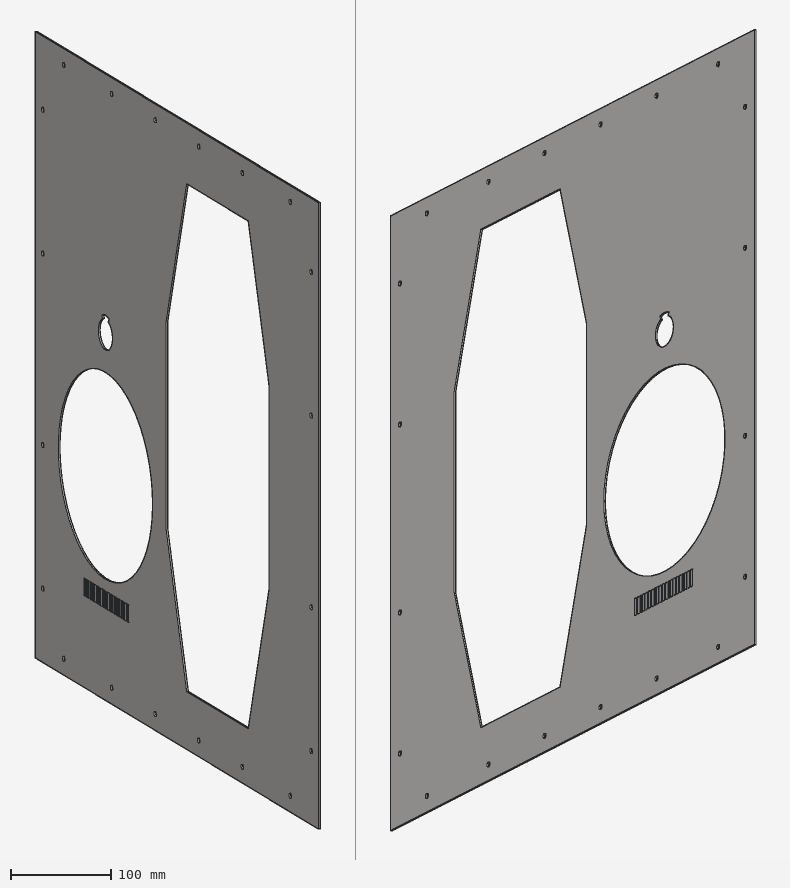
import cadquery as cq
import math

panel_width = 650.0
panel_height = 654.0
thickness = 2.0

fixing_diameter = 5.0
fixing_edge_distance = 17.0
fixing_x_offsets = (50.0, 150.0, 260.0)
fixing_z_offsets = (100.0, 250.0)

window_center_x = 93.0
window_center_z = -1.5
window_width = 236.0
window_height = 530.0
window_end_width = 141.0
window_side_height = 214.0

opening_x = -164.0
opening_z = -92.5
opening_diameter = 216.0

keyed_hole_rise = 147.5
keyed_hole_z = opening_z + keyed_hole_rise
keyed_hole_diameter = 32.0
key_radius = 20.0
key_angle = 47.0

slot_count = 21
slot_width = 2.5
slot_pitch = 2 * slot_width
slot_height = 18.0
slot_row_shift = 1.67
slot_row_drop = 129.5
slot_row_x = opening_x + slot_row_shift
slot_row_z = opening_z - slot_row_drop


def plane_at(x, z):
    """Sketch plane on the middle of the panel, with its origin at (x, z)."""
    return cq.Workplane("XZ").center(x, z)


def cutter(sketch):
    """Cutting tool from a closed sketch, long enough to pass the full thickness."""
    return sketch.extrude(thickness, both=True)


def fixing_holes():
    edge_x = panel_width / 2 - fixing_edge_distance
    edge_z = panel_height / 2 - fixing_edge_distance
    first_quadrant = [(x, edge_z) for x in fixing_x_offsets]
    first_quadrant += [(edge_x, z) for z in fixing_z_offsets]
    centers = [
        (side_x * x, side_z * z)
        for x, z in first_quadrant
        for side_x in (-1, 1)
        for side_z in (-1, 1)
    ]
    return cutter(plane_at(0, 0).pushPoints(centers).circle(fixing_diameter / 2))


def window():
    side_x = window_width / 2
    side_z = window_side_height / 2
    end_x = window_end_width / 2
    end_z = window_height / 2
    outline = [
        (side_x, -side_z),
        (side_x, side_z),
        (end_x, end_z),
        (-end_x, end_z),
        (-side_x, side_z),
        (-side_x, -side_z),
        (-end_x, -end_z),
        (end_x, -end_z),
    ]
    return cutter(plane_at(window_center_x, window_center_z).polyline(outline).close())


def round_opening():
    return cutter(plane_at(opening_x, opening_z).circle(opening_diameter / 2))


def keyed_hole():
    bore = cutter(plane_at(opening_x, keyed_hole_z).circle(keyed_hole_diameter / 2))
    half_angle = math.radians(key_angle / 2)
    corner_x = key_radius * math.sin(half_angle)
    corner_z = key_radius * math.cos(half_angle)
    wedge = plane_at(opening_x, keyed_hole_z).lineTo(-corner_x, corner_z)
    wedge = wedge.threePointArc((0, key_radius), (corner_x, corner_z)).close()
    return bore.union(cutter(wedge))


def vent_slots():
    row = plane_at(slot_row_x, slot_row_z).rarray(slot_pitch, slot_pitch, slot_count, 1)
    return cutter(row.rect(slot_width, slot_height))


result = plane_at(0, 0).rect(panel_width, panel_height).extrude(thickness / 2, both=True)
for cutout in (fixing_holes(), window(), round_opening(), keyed_hole(), vent_slots()):
    result = result.cut(cutout)